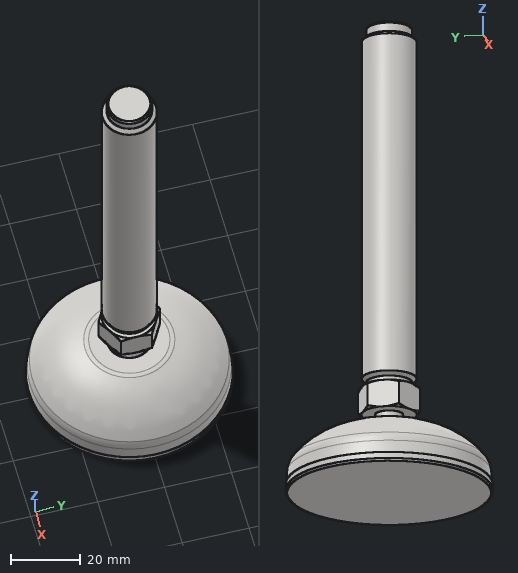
import cadquery as cq
import math


PAD_RADIUS = 29.97
PAD_HEIGHT = 2.5
PAD_CHAMFER_HEIGHT = 0.7
PAD_CHAMFER_WIDTH = 0.4

RIM_RADIUS = 29.6
RIM_TOP = 6.2
SHOULDER_RADIUS = 28.9
SHOULDER_TOP = 8.9
SHOULDER_BULGE = 0.17
DOME_BULGE = 1.7
DOME_EDGE_RADIUS = 13.2
DOME_EDGE_DROP = 0.1
DOME_EDGE_BULGE = 0.03
BASE_TOP = 19.0
FLAT_RADIUS = 11.8

BALL_RADIUS = 7.2
NECK_RADIUS = 8.1 / 2
NECK_START = 21.7
HEX_FLATS = 16.0
HEX_BOTTOM = 23.8
HEX_TOP = 31.9
HEX_CHAMFER_RADIUS = 16.2 / 2
HEX_CHAMFER_ANGLE = 30
ROD_RADIUS = 16.0 / 2
ROD_BOTTOM = 34.7
ROD_TOP = 137.5
ROD_CHAMFER_HEIGHT = 1.1
PIN_RADIUS = 13.3 / 2
PIN_CHAMFER = 0.5
TOTAL_HEIGHT = 141.7

BALL_CENTER = NECK_START - math.sqrt(BALL_RADIUS**2 - NECK_RADIUS**2)


def bulged_middle(start, end, bulge):
    """Middle point of an arc that rises outward from its chord by the bulge."""
    dr = end[0] - start[0]
    dz = end[1] - start[1]
    chord = math.hypot(dr, dz)
    middle_r = (start[0] + end[0]) / 2 + bulge * dz / chord
    middle_z = (start[1] + end[1]) / 2 - bulge * dr / chord
    return middle_r, middle_z


def revolve_profile(profile):
    """Turn a closed (radius, z) profile about the Z axis."""
    return profile.close().revolve(360, (0, 0, 0), (0, 1, 0))


def cylinder(radius, bottom, top):
    return cq.Workplane("XY").workplane(offset=bottom).circle(radius).extrude(top - bottom)


def make_ball():
    return cq.Workplane("XY").sphere(BALL_RADIUS).translate((0, 0, BALL_CENTER))


def make_pad():
    profile = (
        cq.Workplane("XZ")
        .moveTo(0, 0)
        .lineTo(PAD_RADIUS - PAD_CHAMFER_WIDTH, 0)
        .lineTo(PAD_RADIUS, PAD_CHAMFER_HEIGHT)
        .lineTo(PAD_RADIUS, PAD_HEIGHT)
        .lineTo(0, PAD_HEIGHT)
    )
    return revolve_profile(profile)


def make_base():
    """Solid dome with a spherical socket for the ball of the spindle."""
    rim = (RIM_RADIUS, RIM_TOP)
    shoulder = (SHOULDER_RADIUS, SHOULDER_TOP)
    dome_edge = (DOME_EDGE_RADIUS, BASE_TOP - DOME_EDGE_DROP)
    flat_edge = (FLAT_RADIUS, BASE_TOP)
    profile = (
        cq.Workplane("XZ")
        .moveTo(0, PAD_HEIGHT)
        .lineTo(PAD_RADIUS, PAD_HEIGHT)
        .lineTo(*rim)
        .threePointArc(bulged_middle(rim, shoulder, SHOULDER_BULGE), shoulder)
        .threePointArc(bulged_middle(shoulder, dome_edge, DOME_BULGE), dome_edge)
        .threePointArc(bulged_middle(dome_edge, flat_edge, DOME_EDGE_BULGE), flat_edge)
        .lineTo(0, BASE_TOP)
    )
    return revolve_profile(profile).cut(make_ball())


def make_hex():
    """Hexagon with flats facing +X and -X and its corners chamfered at both ends."""
    corner_radius = HEX_FLATS / 2 / math.cos(math.radians(30))
    chamfer_width = corner_radius - HEX_CHAMFER_RADIUS
    chamfer_height = chamfer_width * math.tan(math.radians(HEX_CHAMFER_ANGLE))
    prism = (
        cq.Workplane("XY")
        .workplane(offset=HEX_BOTTOM)
        .transformed(rotate=(0, 0, 30))
        .polygon(6, 2 * corner_radius)
        .extrude(HEX_TOP - HEX_BOTTOM)
    )
    envelope = revolve_profile(
        cq.Workplane("XZ")
        .moveTo(0, HEX_BOTTOM)
        .lineTo(HEX_CHAMFER_RADIUS, HEX_BOTTOM)
        .lineTo(corner_radius, HEX_BOTTOM + chamfer_height)
        .lineTo(corner_radius, HEX_TOP - chamfer_height)
        .lineTo(HEX_CHAMFER_RADIUS, HEX_TOP)
        .lineTo(0, HEX_TOP)
    )
    return prism.intersect(envelope)


def make_spindle():
    """Ball, neck, hexagon, rod and end pin in one piece."""
    neck = cylinder(NECK_RADIUS, BALL_CENTER, HEX_BOTTOM)
    pin = cylinder(PIN_RADIUS, HEX_TOP, TOTAL_HEIGHT).faces(">Z").chamfer(PIN_CHAMFER)
    rod = cylinder(ROD_RADIUS, ROD_BOTTOM - ROD_CHAMFER_HEIGHT, ROD_TOP + ROD_CHAMFER_HEIGHT)
    rod = rod.faces("<Z or >Z").chamfer(ROD_CHAMFER_HEIGHT, ROD_RADIUS - PIN_RADIUS)
    return make_ball().union(neck).union(make_hex()).union(pin).union(rod)


pad = make_pad()
base = make_base()
spindle = make_spindle()

result = cq.Compound.makeCompound([pad.val(), base.val(), spindle.val()])